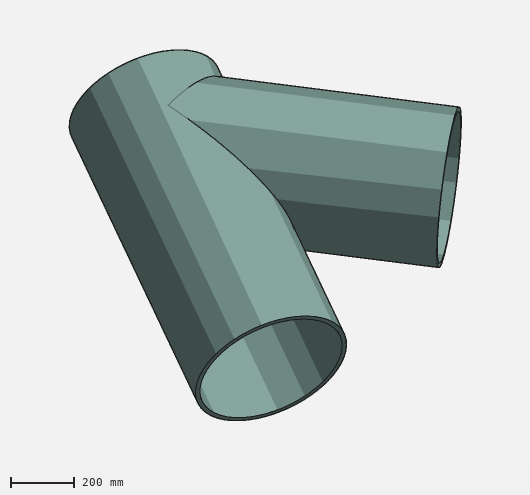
import cadquery as cq
import math

outer_diameter = 508.0
bore_diameter = 478.0
run_length = 1092.0
overall_width = 1151.0
branch_angle = 60.0
branch_offset = 204.0

outer_radius = outer_diameter / 2
angle = math.radians(branch_angle)
branch_length = (overall_width - outer_radius - outer_radius * math.cos(angle)) / math.sin(angle)

run_start = cq.Vector(-branch_offset, 0, 0)
run_direction = cq.Vector(1, 0, 0)
junction = cq.Vector(0, 0, 0)
branch_direction = cq.Vector(math.cos(angle), math.sin(angle), 0)


def rod(diameter, length, start, direction):
    """Solid round bar from a start point along a direction."""
    return cq.Workplane(obj=cq.Solid.makeCylinder(diameter / 2, length, start, direction))


run = rod(outer_diameter, run_length, run_start, run_direction)
branch = rod(outer_diameter, branch_length, junction, branch_direction)

run_bore_start = run_start - run_direction * outer_radius
run_bore = rod(bore_diameter, run_length + outer_radius, run_bore_start, run_direction)
branch_bore = rod(bore_diameter, branch_length, junction, branch_direction)

result = run.union(branch).cut(run_bore).cut(branch_bore)